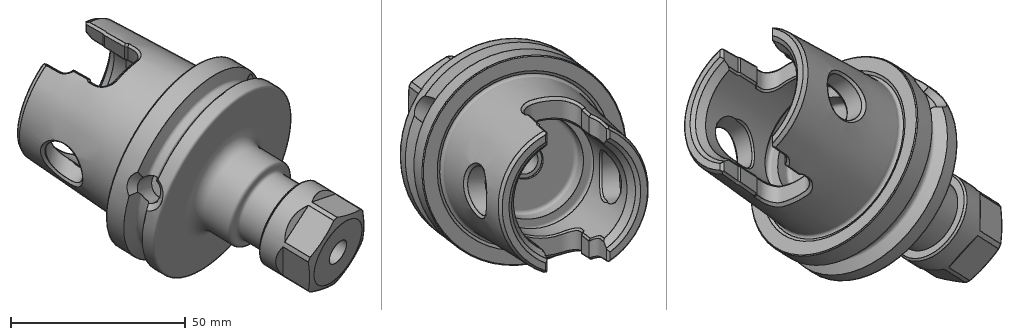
import cadquery as cq
import math


shank_length = 39.8
shank_end_radius = 25.0
taper_slope = 1 / 20
taper_end = -1.2
mouth_chamfer_length = 1.3
mouth_outer_radius = 22.4

seat_outer_radius = 26.9
seat_floor_radius = 26.0
seat_depth = 0.4

mouth_inner_radius = 20.3
lead_radius = 19.1
lead_length = 1.0
bore_radius = 17.5
bore_start = -36.2
groove_start = -9.9
groove_radius = 19.0
groove_end = -6.4
groove_root_fillet = 1.0
pocket_radius = 15.7
pocket_floor = -1.4
pocket_fillet = 1.2
counterbore_radius = 5.2
counterbore_depth = 1.0
coolant_radius = 4.0

flange_radius = 31.5
flange_width = 18.1
flange_front_chamfer = 0.3
flange_back_fillet = 0.8
gripper_groove_center = 10.0
gripper_groove_depth = 3.6
gripper_groove_width = 6.8
gripper_groove_angle = 60
gripper_groove_fillet = 0.8

collar_radius = 14.0
collar_end = 32.0
collar_root_fillet = 4.0
collar_edge_fillet = 1.0
neck_radius = 11.0
neck_root_fillet = 1.0

nut_start = 42.0
nut_end = 60.2
nut_radius = 14.0
nut_back_chamfer = 0.6
nut_front_radius = 11.2
nut_front_chamfer_length = 0.9
nut_across_flats = 25.0
nut_flat_start = 50.0
flat_count = 6

cross_hole_x = -22.3
cross_hole_radius = 7.2
relief_reach = 22.3
relief_base = 14.0
relief_shift = 4.0
outer_rim_chamfer = 0.9
inner_rim_chamfer = 0.5
rim_margin = 0.1
slot_end = -18.1
slot_half_width = 7.9
slot_relief = 0.6
slot_mouth_relief = 0.3
slot_mouth_flare = 0.8
slot_corner_radius = 4.1
slot_relief_start = -24.7
slot_relief_ramp = 0.8
slot_mouth_step = -32.0
slot_wide_half_width = 10.1
slot_wide_end = -34.1
slot_wide_blend_end = -30.8

notch_x = 11.0
notch_radius = 4.0
notch_floor_radius = 21.7
notch_tilt = 30
notch_sink_radius = 6.2

cut_clearance = 1.0
match_tolerance = 0.01


def taper_radius(x):
    """Outer radius of the tapered shank at axial position x."""
    return shank_end_radius + taper_slope * (x - taper_end)


def revolve_about_axis(profile):
    """Full revolve of an X-radius profile about the X axis."""
    return profile.close().revolve(360, (0, 0, 0), (1, 0, 0))


def make_shank_blank():
    """Tapered shank that reaches down to the floor of the seat recess."""
    chamfer_end = -shank_length + mouth_chamfer_length
    return revolve_about_axis(
        cq.Workplane("XZ")
        .moveTo(-shank_length, 0)
        .lineTo(-shank_length, mouth_outer_radius)
        .lineTo(chamfer_end, taper_radius(chamfer_end))
        .lineTo(taper_end, shank_end_radius)
        .lineTo(seat_depth, shank_end_radius)
        .lineTo(seat_depth, 0)
    )


def make_cavity():
    """Clamping cavity with lead-in cones, undercut groove and rounded pocket."""
    return revolve_about_axis(
        cq.Workplane("XZ")
        .moveTo(-shank_length, 0)
        .lineTo(-shank_length, mouth_inner_radius)
        .lineTo(-shank_length + lead_length, lead_radius)
        .lineTo(bore_start, bore_radius)
        .lineTo(groove_start, bore_radius)
        .lineTo(groove_start + (groove_radius - bore_radius), groove_radius)
        .lineTo(groove_end - groove_root_fillet, groove_radius)
        .radiusArc((groove_end, groove_radius - groove_root_fillet), groove_root_fillet)
        .lineTo(groove_end, pocket_radius)
        .lineTo(pocket_floor - pocket_fillet, pocket_radius)
        .radiusArc((pocket_floor, pocket_radius - pocket_fillet), pocket_fillet)
        .lineTo(pocket_floor, counterbore_radius)
        .lineTo(pocket_floor + counterbore_depth, counterbore_radius)
        .lineTo(pocket_floor + counterbore_depth, coolant_radius)
        .lineTo(nut_end, coolant_radius)
        .lineTo(nut_end, 0)
    )


def make_slot_cutter():
    """Driving slot through the whole shank, wider on its -Y side at the mouth."""
    relieved = slot_half_width + slot_relief
    mouth_half_width = slot_half_width + slot_mouth_relief
    flare_end = -shank_length + slot_mouth_flare
    ramp_end = slot_relief_start + slot_relief_ramp
    corner_start = slot_end - slot_corner_radius
    corner_y = relieved - slot_corner_radius
    return (
        cq.Workplane("XY")
        .moveTo(-shank_length, -slot_wide_half_width - slot_mouth_flare)
        .lineTo(-shank_length, mouth_half_width + slot_mouth_flare)
        .lineTo(flare_end, mouth_half_width)
        .lineTo(slot_mouth_step - slot_relief_ramp, mouth_half_width)
        .lineTo(slot_mouth_step, slot_half_width)
        .lineTo(slot_relief_start, slot_half_width)
        .lineTo(ramp_end, relieved)
        .lineTo(corner_start, relieved)
        .radiusArc((slot_end, corner_y), slot_corner_radius)
        .lineTo(slot_end, -corner_y)
        .radiusArc((corner_start, -relieved), slot_corner_radius)
        .lineTo(ramp_end, -relieved)
        .lineTo(slot_relief_start, -slot_half_width)
        .lineTo(slot_wide_blend_end, -slot_half_width)
        .radiusArc((slot_wide_end, -slot_wide_half_width), slot_wide_blend_end - slot_wide_end)
        .lineTo(flare_end, -slot_wide_half_width)
        .close()
        .extrude(shank_end_radius, both=True)
    )


def breaks_through(edge, wall_radius, start, end):
    """True for a slot or hole edge on the wall of the given radius function between two X positions."""
    middle = edge.positionAt(0.5)
    on_wall = abs(math.hypot(middle.y, middle.z) - wall_radius(middle.x)) < match_tolerance
    on_seam = edge.geomType() == "LINE" and abs(middle.y) < match_tolerance
    return on_wall and start < middle.x < end and not on_seam


def make_hole_relief():
    """Oblique relief of the +Y cross hole, leaning towards the mouth on the inside of the wall."""
    depth = relief_reach - relief_base
    leaning_bore = (
        cq.Workplane("XZ", origin=(cross_hole_x, relief_reach, 0))
        .circle(cross_hole_radius)
        .workplane(offset=depth)
        .center(-relief_shift, 0)
        .circle(cross_hole_radius)
        .loft(ruled=True)
    )
    wedge = (
        cq.Workplane("XY")
        .polyline([
            (cross_hole_x, relief_reach),
            (cross_hole_x, relief_base),
            (cross_hole_x - relief_shift, relief_base),
        ])
        .close()
        .extrude(cross_hole_radius, both=True)
    )
    return leaning_bore.union(wedge)


def make_shank():
    """Shank with its driving slots and cross holes, all with chamfered rims."""
    cross_hole = (
        cq.Workplane("XZ")
        .center(cross_hole_x, 0)
        .circle(cross_hole_radius)
        .extrude(shank_end_radius, both=True)
    )
    shank = make_shank_blank().cut(make_cavity()).cut(make_slot_cutter()).cut(cross_hole)
    outer_start = -shank_length + mouth_chamfer_length + rim_margin
    outer_rims = [
        edge for edge in shank.edges().vals()
        if breaks_through(edge, taper_radius, outer_start, taper_end - rim_margin)
    ]
    shank = shank.newObject(outer_rims).chamfer(outer_rim_chamfer)
    inner_rims = [
        edge for edge in shank.edges().vals()
        if breaks_through(edge, lambda x: bore_radius, bore_start + rim_margin, groove_start - rim_margin)
    ]
    shank = shank.newObject(inner_rims).chamfer(inner_rim_chamfer)
    relief = make_hole_relief()
    return shank.cut(relief).cut(relief.mirror("XZ"))


def make_gripper_groove():
    """Ring cut into the flange rim, with sloping walls and a rounded floor."""
    wall_run = gripper_groove_depth * math.tan(math.radians(gripper_groove_angle / 2))
    half_rim = gripper_groove_width / 2
    half_floor = half_rim - wall_run
    floor_radius = flange_radius - gripper_groove_depth
    ring = revolve_about_axis(
        cq.Workplane("XZ").polyline([
            (gripper_groove_center - half_rim, flange_radius),
            (gripper_groove_center - half_floor, floor_radius),
            (gripper_groove_center + half_floor, floor_radius),
            (gripper_groove_center + half_rim, flange_radius),
        ])
    )
    floor_edges = [
        edge for edge in ring.edges("%CIRCLE").vals()
        if abs(edge.radius() - floor_radius) < match_tolerance
    ]
    return ring.newObject(floor_edges).fillet(gripper_groove_fillet)


def make_notch_cutter(tilt):
    """Blind radial hole into the flange rim at the given angle from +Y towards +Z."""
    return (
        cq.Workplane("XY")
        .center(notch_x, 0)
        .workplane(offset=notch_floor_radius)
        .circle(notch_radius)
        .extrude(flange_radius - notch_floor_radius + cut_clearance)
        .rotate((0, 0, 0), (1, 0, 0), tilt - 90)
    )


def make_notch_sink(tilt):
    """45 degree countersink of a flange notch."""
    sink_depth = notch_sink_radius - notch_radius
    return (
        cq.Workplane("XZ")
        .moveTo(0, flange_radius - sink_depth)
        .lineTo(notch_radius, flange_radius - sink_depth)
        .lineTo(notch_sink_radius, flange_radius)
        .lineTo(0, flange_radius)
        .close()
        .revolve(360, (0, 0, 0), (0, 1, 0))
        .translate((notch_x, 0, 0))
        .rotate((0, 0, 0), (1, 0, 0), tilt - 90)
    )


def make_flange():
    """Flange with collar and neck, grooved and notched at its rim."""
    root_radius = seat_floor_radius - shank_end_radius
    turned = revolve_about_axis(
        cq.Workplane("XZ")
        .moveTo(seat_depth - root_radius, 0)
        .lineTo(seat_depth - root_radius, shank_end_radius)
        .radiusArc((seat_depth, seat_floor_radius), -root_radius)
        .lineTo(0, seat_outer_radius)
        .lineTo(0, flange_radius - flange_front_chamfer)
        .lineTo(flange_front_chamfer, flange_radius)
        .lineTo(flange_width - flange_back_fillet, flange_radius)
        .radiusArc((flange_width, flange_radius - flange_back_fillet), flange_back_fillet)
        .lineTo(flange_width, collar_radius + collar_root_fillet)
        .radiusArc((flange_width + collar_root_fillet, collar_radius), -collar_root_fillet)
        .lineTo(collar_end - collar_edge_fillet, collar_radius)
        .radiusArc((collar_end, collar_radius - collar_edge_fillet), collar_edge_fillet)
        .lineTo(collar_end, neck_radius + neck_root_fillet)
        .radiusArc((collar_end + neck_root_fillet, neck_radius), -neck_root_fillet)
        .lineTo(nut_end, neck_radius)
        .lineTo(nut_end, 0)
    )
    near_tilt = 180 - notch_tilt
    return (
        turned.cut(make_gripper_groove())
        .cut(make_notch_cutter(notch_tilt))
        .cut(make_notch_cutter(near_tilt))
        .cut(make_notch_sink(near_tilt))
    )


def make_holder():
    """Tool holder: shank, flange, collar and the neck that carries the nut."""
    return make_flange().cut(make_cavity()).union(make_shank())


def make_flat_cutter(angle):
    """Material outside one hexagon flat, with a 45 degree run-out at its back."""
    flat_distance = nut_across_flats / 2
    outside = nut_radius + cut_clearance
    return (
        cq.Workplane("XY")
        .moveTo(nut_flat_start, flat_distance)
        .lineTo(nut_end, flat_distance)
        .lineTo(nut_end, outside)
        .lineTo(nut_flat_start - (outside - flat_distance), outside)
        .close()
        .extrude(nut_radius, both=True)
        .rotate((0, 0, 0), (1, 0, 0), angle)
    )


def make_nut():
    """Clamping nut fitted over the neck, with six flats at its front."""
    nut_blank = revolve_about_axis(
        cq.Workplane("XZ")
        .moveTo(nut_start, neck_radius)
        .lineTo(nut_start, nut_radius - nut_back_chamfer)
        .lineTo(nut_start + nut_back_chamfer, nut_radius)
        .lineTo(nut_end - nut_front_chamfer_length, nut_radius)
        .lineTo(nut_end, nut_front_radius)
        .lineTo(nut_end, neck_radius)
    )
    for index in range(flat_count):
        nut_blank = nut_blank.cut(make_flat_cutter(index * 360 / flat_count))
    return nut_blank


holder = make_holder()
nut = make_nut()
result = cq.Compound.makeCompound([holder.val(), nut.val()])